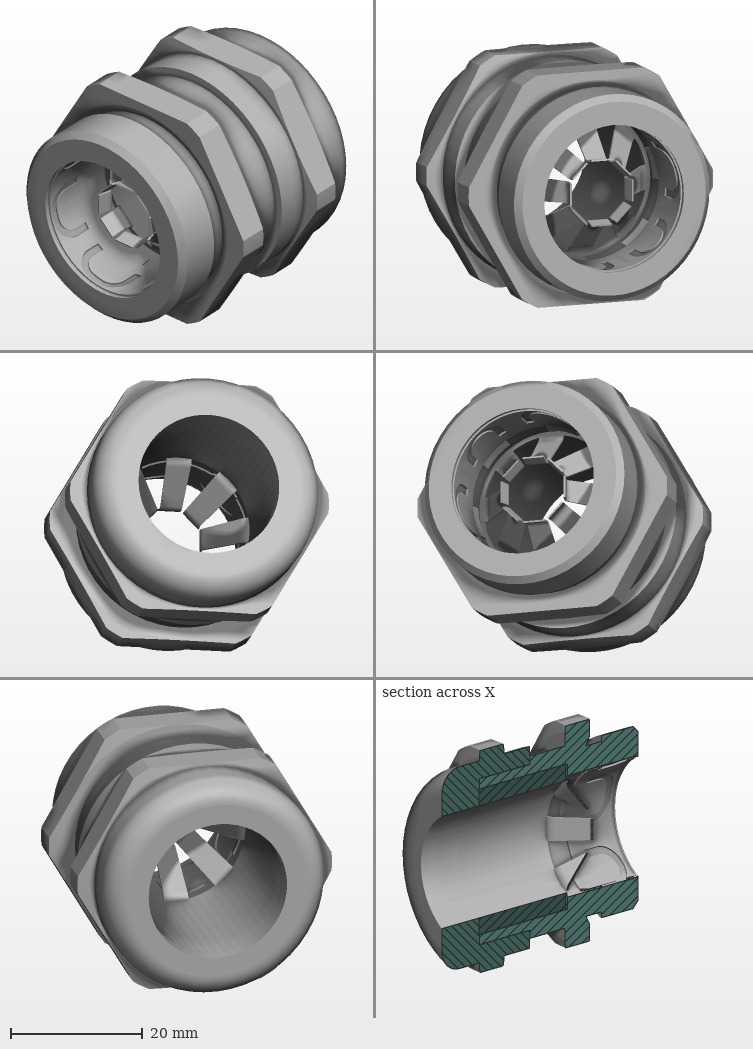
import cadquery as cq
import math

OVERALL_LENGTH = 38.9

HEX_ACROSS_FLATS = 36.0
HEX_CORNER_RADIUS = 20.0
HEX_THICKNESS = 5.0
HEX_CHAMFER_DEPTH = 0.35

THREAD_RADIUS = 16.0
THREAD_LENGTH = 7.3
THREAD_CHAMFER = 1.0
GROOVE_RADIUS = 15.1
BODY_HEX_DEPTH = 9.5
SEAT_RIM_RADIUS = 16.55
SEAT_EDGE_RADIUS = 16.3
SEAT_EDGE_DEPTH = 0.1
SEAT_DEPTH = 0.7
ENTRY_RADIUS = 11.4
ENTRY_LENGTH = 0.3
BORE_RADIUS = 11.5
SPIGOT_RADIUS = 14.8
SPIGOT_END_DEPTH = 31.45
SEAL_CHAMBER_RADIUS = 13.2

CAP_RADIUS = 17.5
CAP_DEPTH = 21.5
CAP_HEX_DEPTH = CAP_DEPTH + HEX_THICKNESS
DOME_RADIUS = 3.5

SHEET_THICKNESS = 0.3
SLEEVE_START_DEPTH = 0.9
SLEEVE_END_DEPTH = 9.9
TONGUE_GROUP_ANGLES = (-45.0, 135.0)
TONGUE_PITCH = 60.0
MIDDLE_SLOT_HALF_WIDTH = 3.6
SIDE_SLOT_HALF_WIDTH = 4.5
SLOT_CORNER_RADIUS = 3.55
SLOT_WIDTH = 1.15
SLOT_NEAR_DEPTH = 1.2
SLOT_FAR_DEPTH = 7.2
LUG_WIDTH = 5.05
LUG_LENGTH = 1.6
LUG_LEAN = 0.3

FLANGE_DEPTH = 14.0
FLANGE_INNER_RADIUS = 10.9
FINGER_COUNT = 8
FINGER_BASE_RADIUS = 11.6
FINGER_ROOT_RADIUS = 10.2
FINGER_BEND_RADIUS = 4.35
FINGER_BEND_DEPTH = 7.3
FINGER_TIP_RADIUS = 4.9
FINGER_TIP_DEPTH = 5.0
FINGER_ROOT_WIDTH = 4.0
FINGER_TIP_WIDTH = 3.3
ROOT_FILLET = 1.6
BEND_FILLET = 1.2


def y_at(depth):
    """Y coordinate of a depth measured from the threaded end face."""
    return depth - OVERALL_LENGTH / 2


def revolved(profile):
    """Solid of revolution about Y from (radius, depth) corners."""
    corners = [(radius, y_at(depth)) for radius, depth in profile]
    return cq.Workplane("XY").polyline(corners).close().revolve(360, (0, 0), (0, 1))


def cylinder(radius, start_depth, end_depth):
    return revolved([(0, start_depth), (radius, start_depth), (radius, end_depth), (0, end_depth)])


def hexagon(start_depth, chamfer_near_side):
    """Hexagon with turned corners, chamfered on the far side and optionally on the near side."""
    end_depth = start_depth + HEX_THICKNESS
    flat_radius = HEX_ACROSS_FLATS / 2
    prism = (
        cq.Workplane("XZ", origin=(0, y_at(start_depth), 0))
        .polygon(6, HEX_ACROSS_FLATS / math.cos(math.pi / 6))
        .extrude(-HEX_THICKNESS)
    )
    if chamfer_near_side:
        near_side = [(flat_radius, start_depth), (HEX_CORNER_RADIUS, start_depth + HEX_CHAMFER_DEPTH)]
    else:
        near_side = [(HEX_CORNER_RADIUS, start_depth)]
    far_side = [(HEX_CORNER_RADIUS, end_depth - HEX_CHAMFER_DEPTH), (flat_radius, end_depth)]
    return prism.intersect(revolved([(0, start_depth), *near_side, *far_side, (0, end_depth)]))


def gland_body():
    thread = revolved([
        (0, 0),
        (THREAD_RADIUS - THREAD_CHAMFER, 0),
        (THREAD_RADIUS, THREAD_CHAMFER),
        (THREAD_RADIUS, THREAD_LENGTH),
        (0, THREAD_LENGTH),
    ])
    seat = revolved([
        (0, BODY_HEX_DEPTH),
        (SEAT_RIM_RADIUS, BODY_HEX_DEPTH),
        (SEAT_EDGE_RADIUS, BODY_HEX_DEPTH + SEAT_EDGE_DEPTH),
        (GROOVE_RADIUS, BODY_HEX_DEPTH + SEAT_DEPTH),
        (0, BODY_HEX_DEPTH + SEAT_DEPTH),
    ])
    return (
        hexagon(BODY_HEX_DEPTH, chamfer_near_side=False)
        .cut(seat)
        .union(thread)
        .union(cylinder(GROOVE_RADIUS, THREAD_LENGTH, BODY_HEX_DEPTH + HEX_THICKNESS))
        .union(cylinder(THREAD_RADIUS, BODY_HEX_DEPTH + HEX_THICKNESS, CAP_DEPTH))
        .union(cylinder(SPIGOT_RADIUS, CAP_DEPTH, SPIGOT_END_DEPTH))
        .cut(cylinder(ENTRY_RADIUS, 0, ENTRY_LENGTH))
        .cut(cylinder(BORE_RADIUS, ENTRY_LENGTH, FLANGE_DEPTH))
        .cut(cylinder(SEAL_CHAMBER_RADIUS, FLANGE_DEPTH, SPIGOT_END_DEPTH))
    )


def cap_nut():
    dome = cylinder(CAP_RADIUS, CAP_DEPTH, OVERALL_LENGTH).faces(">Y").edges().fillet(DOME_RADIUS)
    return (
        dome.union(hexagon(CAP_HEX_DEPTH, chamfer_near_side=True))
        .cut(cylinder(SPIGOT_RADIUS, CAP_DEPTH, SPIGOT_END_DEPTH))
        .cut(cylinder(FLANGE_INNER_RADIUS, SPIGOT_END_DEPTH, OVERALL_LENGTH))
    )


def sealing_insert():
    start_depth = FLANGE_DEPTH + SHEET_THICKNESS
    tube = cylinder(SEAL_CHAMBER_RADIUS, start_depth, SPIGOT_END_DEPTH)
    return tube.cut(cylinder(FLANGE_INNER_RADIUS, start_depth, SPIGOT_END_DEPTH))


def tongue_prism(half_width, corner_radius, near_depth):
    """Prism along +X with two rounded corners at near_depth and a square end at SLOT_FAR_DEPTH."""
    near = y_at(near_depth)
    far = y_at(SLOT_FAR_DEPTH)
    block = (
        cq.Workplane("YZ")
        .polyline([(far, -half_width), (near, -half_width), (near, half_width), (far, half_width)])
        .close()
        .extrude(THREAD_RADIUS)
    )
    return block.edges("|X and <Y").fillet(corner_radius)


def sleeve_lug():
    """Lug along +X on the far end of the sleeve, leaning slightly inwards."""
    cone = revolved([
        (BORE_RADIUS - SHEET_THICKNESS, SLEEVE_END_DEPTH),
        (BORE_RADIUS, SLEEVE_END_DEPTH),
        (BORE_RADIUS - LUG_LEAN, SLEEVE_END_DEPTH + LUG_LENGTH),
        (BORE_RADIUS - SHEET_THICKNESS - LUG_LEAN, SLEEVE_END_DEPTH + LUG_LENGTH),
    ])
    blank = cq.Workplane("XY").box(BORE_RADIUS, OVERALL_LENGTH, LUG_WIDTH, centered=(False, True, True))
    return cone.intersect(blank)


def tongue_slot(half_width):
    """U-shaped cutter along +X that frees a tongue."""
    outer = tongue_prism(half_width, SLOT_CORNER_RADIUS, SLOT_NEAR_DEPTH)
    inner = tongue_prism(
        half_width - SLOT_WIDTH, SLOT_CORNER_RADIUS - SLOT_WIDTH, SLOT_NEAR_DEPTH + SLOT_WIDTH
    )
    return outer.cut(inner)


def contact_sleeve():
    sleeve = cylinder(BORE_RADIUS, SLEEVE_START_DEPTH, SLEEVE_END_DEPTH).cut(
        cylinder(BORE_RADIUS - SHEET_THICKNESS, SLEEVE_START_DEPTH, SLEEVE_END_DEPTH)
    )
    lug = sleeve_lug()
    for group_angle in TONGUE_GROUP_ANGLES:
        for step in (-1, 0, 1):
            angle = group_angle + step * TONGUE_PITCH
            slot = tongue_slot(SIDE_SLOT_HALF_WIDTH if step else MIDDLE_SLOT_HALF_WIDTH)
            sleeve = sleeve.cut(slot.rotate((0, 0, 0), (0, 1, 0), -angle))
            sleeve = sleeve.union(lug.rotate((0, 0, 0), (0, 1, 0), -angle))
    return sleeve


def finger():
    """One finger along +X: a bent strip from the flange to its flared tip, tapering in width."""
    slope = math.atan2(FLANGE_DEPTH - FINGER_BEND_DEPTH, FINGER_ROOT_RADIUS - FINGER_BEND_RADIUS)
    flare = math.atan2(FINGER_TIP_RADIUS - FINGER_BEND_RADIUS, FINGER_BEND_DEPTH - FINGER_TIP_DEPTH)
    bend_turn = math.pi / 2 - slope + flare
    root_shift = SHEET_THICKNESS * math.tan(slope / 2)
    bend_shift = SHEET_THICKNESS * math.tan(bend_turn / 2)
    back_depth = FLANGE_DEPTH + SHEET_THICKNESS
    skin_radius = SHEET_THICKNESS * math.cos(flare)
    skin_depth = SHEET_THICKNESS * math.sin(flare)
    outer_bend = (
        FINGER_BEND_RADIUS + skin_radius + bend_shift * math.sin(flare),
        FINGER_BEND_DEPTH + skin_depth - bend_shift * math.cos(flare),
    )
    outer_tip = (FINGER_TIP_RADIUS + skin_radius, FINGER_TIP_DEPTH + skin_depth)
    inner_bend = (FINGER_BEND_RADIUS, FINGER_BEND_DEPTH)
    inner_root = (FINGER_ROOT_RADIUS, back_depth)
    outer_root = (FINGER_ROOT_RADIUS + root_shift, FLANGE_DEPTH)
    profile = [
        (FINGER_BASE_RADIUS, back_depth),
        inner_root,
        inner_bend,
        (FINGER_TIP_RADIUS, FINGER_TIP_DEPTH),
        outer_tip,
        outer_bend,
        outer_root,
        (FINGER_BASE_RADIUS, FLANGE_DEPTH),
    ]
    strip = (
        cq.Workplane("XY")
        .polyline([(radius, y_at(depth)) for radius, depth in profile])
        .close()
        .extrude(FINGER_ROOT_WIDTH / 2, both=True)
    )
    strip = round_corner(strip, inner_root, ROOT_FILLET + SHEET_THICKNESS)
    strip = round_corner(strip, outer_root, ROOT_FILLET)
    strip = round_corner(strip, inner_bend, BEND_FILLET + SHEET_THICKNESS)
    strip = round_corner(strip, outer_bend, BEND_FILLET)
    taper = (
        cq.Workplane("XZ", origin=(0, y_at(0), 0))
        .polyline([
            (FINGER_BEND_RADIUS, -FINGER_TIP_WIDTH / 2),
            (FINGER_BASE_RADIUS, -FINGER_ROOT_WIDTH / 2),
            (FINGER_BASE_RADIUS, FINGER_ROOT_WIDTH / 2),
            (FINGER_BEND_RADIUS, FINGER_TIP_WIDTH / 2),
        ])
        .close()
        .extrude(-OVERALL_LENGTH)
    )
    return strip.intersect(taper)


def round_corner(strip, corner, fillet_radius):
    """Round the edge of an XY outline that stands along Z at a (radius, depth) corner."""
    at_corner = cq.selectors.NearestToPointSelector((corner[0], y_at(corner[1]), 0))
    return strip.edges("|Z").edges(at_corner).fillet(fillet_radius)


def contact_spring():
    back_depth = FLANGE_DEPTH + SHEET_THICKNESS
    spring = cylinder(SEAL_CHAMBER_RADIUS, FLANGE_DEPTH, back_depth).cut(
        cylinder(FLANGE_INNER_RADIUS, FLANGE_DEPTH, back_depth)
    )
    strip = finger()
    for index in range(FINGER_COUNT):
        spring = spring.union(strip.rotate((0, 0, 0), (0, 1, 0), index * 360 / FINGER_COUNT))
    return spring


result = cq.Compound.makeCompound([
    gland_body().val(),
    cap_nut().val(),
    sealing_insert().val(),
    contact_sleeve().val(),
    contact_spring().val(),
])